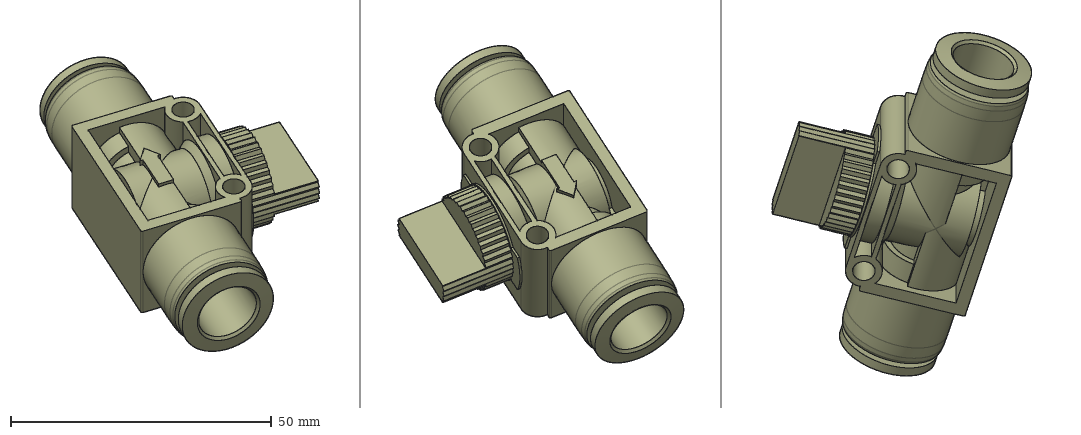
import cadquery as cq
import math

LENGTH = 68.1
HALF_LENGTH = LENGTH / 2
WIDTH_Y = 40.5
HOUSING_SIZE = 21.2
HALF_HOUSING = HOUSING_SIZE / 2
HANDLE_END_Y = WIDTH_Y - HALF_HOUSING

HOUSING_HALF_X = 16.55
EDGE_FILLET = 0.35
WALL = 2.45
EAR_X = 12.0
EAR_Y = 10.9
EAR_RADIUS = 3.55
EAR_HOLE_DIAMETER = 4.3
EAR_TOP_Y = EAR_Y + EAR_RADIUS

RIB_THICKNESS = 0.95
RIB_GAP = 3.1
UPPER_POCKET_TOP = EAR_TOP_Y - RIB_THICKNESS
UPPER_POCKET_BOTTOM = UPPER_POCKET_TOP - RIB_GAP
LOWER_POCKET_TOP = UPPER_POCKET_BOTTOM - RIB_THICKNESS
LOWER_POCKET_BOTTOM = -HALF_HOUSING + WALL
POCKET_HALF_X = HOUSING_HALF_X - WALL
WEB_THICKNESS = 2.7

CHAMBER_RADIUS = 8.9
CHAMBER_BOTTOM_Y = -6.7
CHAMBER_TOP_Y = 7.9
BONNET_RADIUS = 10.2
PASSAGE_RADIUS = 6.2
CHAMBER_FOOT_RADIUS = 6.4
COLLAR_RADIUS = 7.6
COLLAR_START_X = 9.75
PASSAGE_OVERLAP = 1.6

ARROW_TOP_Z = 9.6
ARROW_TIP_X = -6.0
ARROW_HEAD_X = -3.0
ARROW_TAIL_X = 4.5
ARROW_HEAD_HALF_WIDTH = 2.2

SLEEVE_RADIUS = 10.2
SLEEVE_TAPER_X = 26.6
SLEEVE_SHOULDER_X = 29.1
SLEEVE_SHOULDER_RADIUS = 10.15
SLEEVE_LIP_X = 30.1
SLEEVE_LIP_RADIUS = 10.0
SLEEVE_END_X = 30.6
SLEEVE_END_RADIUS = 9.8
COLLET_NECK_RADIUS = 6.95
COLLET_RADIUS = 9.6
COLLET_BACK_X = 31.75
COLLET_EDGE_X = 33.65
BORE_RADIUS = 6.05
BORE_CHAMFER = 0.55

FLANGE_TOP_Y = 14.9
FLANGE_DISC_RADIUS = 9.95
FLANGE_TAB_RADIUS = 12.4
FLANGE_TAB_WIDTH = 9.95
KNOB_TOP_Y = 20.65
KNOB_RADIUS = 9.8
KNOB_ROOT_RADIUS = 9.25
KNOB_TEETH = 40
HANDLE_THICKNESS = 5.3


def box(x_min, x_max, y_min, y_max, height):
    """Box between the given X and Y limits, centred on Z = 0."""
    size = (x_max - x_min, y_max - y_min, height)
    return cq.Workplane("XY").box(*size).translate(((x_min + x_max) / 2, (y_min + y_max) / 2, 0))


def along_x(radius, x_min, x_max):
    return cq.Workplane("YZ", origin=(x_min, 0, 0)).circle(radius).extrude(x_max - x_min)


def along_y(radius, y_min, y_max):
    return cq.Workplane("XZ", origin=(0, y_min, 0)).circle(radius).extrude(y_min - y_max)


def ear_cylinders(radius):
    ears = cq.Workplane("XY").pushPoints([(-EAR_X, EAR_Y), (EAR_X, EAR_Y)]).circle(radius)
    return ears.extrude(HALF_HOUSING, both=True)


def make_housing():
    block = box(-HOUSING_HALF_X, HOUSING_HALF_X, -HALF_HOUSING, HALF_HOUSING, HOUSING_SIZE)
    block = block.edges("|Z").fillet(EDGE_FILLET)
    bridge = box(-EAR_X, EAR_X, EAR_Y, EAR_TOP_Y, HOUSING_SIZE)
    lower = box(-POCKET_HALF_X, POCKET_HALF_X, LOWER_POCKET_BOTTOM, LOWER_POCKET_TOP, HOUSING_SIZE)
    upper = box(-EAR_X, EAR_X, UPPER_POCKET_BOTTOM, UPPER_POCKET_TOP, HOUSING_SIZE)
    web = box(-POCKET_HALF_X, POCKET_HALF_X, LOWER_POCKET_BOTTOM, EAR_Y, WEB_THICKNESS)
    upper_web = box(-EAR_X, EAR_X, EAR_Y, UPPER_POCKET_TOP, WEB_THICKNESS)
    housing = block.union(bridge).cut(lower).cut(upper)
    return housing.union(web).union(upper_web).union(ear_cylinders(EAR_RADIUS))


def make_valve_chamber():
    """Stem chamber: narrow foot, straight barrel, then a flare up to the bonnet."""
    profile = [
        (0, -HALF_HOUSING + WALL / 2),
        (CHAMBER_FOOT_RADIUS, -HALF_HOUSING + WALL / 2),
        (CHAMBER_FOOT_RADIUS, CHAMBER_BOTTOM_Y),
        (CHAMBER_RADIUS, CHAMBER_BOTTOM_Y),
        (CHAMBER_RADIUS, CHAMBER_TOP_Y),
        (BONNET_RADIUS, LOWER_POCKET_TOP),
        (BONNET_RADIUS, EAR_TOP_Y),
        (0, EAR_TOP_Y),
    ]
    return cq.Workplane("XY").polyline(profile).close().revolve(360, (0, 0, 0), (0, 1, 0))


def make_right_passage():
    """Passage on the +X side; its lower part is swollen to the chamber radius."""
    end_x = HOUSING_HALF_X
    swollen = along_x(CHAMBER_RADIUS, 0, end_x)
    swollen = swollen.intersect(box(0, end_x, -CHAMBER_RADIUS, PASSAGE_OVERLAP, HOUSING_SIZE))
    passage = along_x(PASSAGE_RADIUS, 0, end_x).union(along_x(COLLAR_RADIUS, COLLAR_START_X, end_x))
    return passage.union(swollen)


def make_arrow():
    half_shaft = PASSAGE_OVERLAP
    outline = [
        (ARROW_TIP_X, 0),
        (ARROW_HEAD_X, ARROW_HEAD_HALF_WIDTH),
        (ARROW_HEAD_X, half_shaft),
        (ARROW_TAIL_X, half_shaft),
        (ARROW_TAIL_X, -half_shaft),
        (ARROW_HEAD_X, -half_shaft),
        (ARROW_HEAD_X, -ARROW_HEAD_HALF_WIDTH),
    ]
    return (
        cq.Workplane("XY", origin=(0, 0, PASSAGE_RADIUS))
        .polyline(outline)
        .close()
        .extrude(ARROW_TOP_Z - PASSAGE_RADIUS)
    )


def make_right_connector():
    """Sleeve and push-in collet on the +X side, with a blind tube socket."""
    mouth_radius = BORE_RADIUS + BORE_CHAMFER
    profile = [
        (HOUSING_HALF_X - WALL / 2, 0),
        (HOUSING_HALF_X - WALL / 2, SLEEVE_RADIUS),
        (SLEEVE_TAPER_X, SLEEVE_RADIUS),
        (SLEEVE_SHOULDER_X, SLEEVE_SHOULDER_RADIUS),
        (SLEEVE_LIP_X, SLEEVE_LIP_RADIUS),
        (SLEEVE_END_X, SLEEVE_END_RADIUS),
        (SLEEVE_END_X, COLLET_NECK_RADIUS),
        (COLLET_BACK_X, COLLET_NECK_RADIUS),
        (COLLET_BACK_X, COLLET_RADIUS),
        (COLLET_EDGE_X, COLLET_RADIUS),
        (HALF_LENGTH, mouth_radius),
        (HALF_LENGTH - BORE_CHAMFER, BORE_RADIUS),
        (HOUSING_HALF_X, BORE_RADIUS),
        (HOUSING_HALF_X, 0),
    ]
    return cq.Workplane("XY").polyline(profile).close().revolve(360, (0, 0, 0), (1, 0, 0))


def make_flange():
    tabs = along_y(FLANGE_TAB_RADIUS, EAR_TOP_Y, FLANGE_TOP_Y)
    tabs = tabs.intersect(
        box(-FLANGE_TAB_RADIUS, FLANGE_TAB_RADIUS, EAR_TOP_Y, FLANGE_TOP_Y, FLANGE_TAB_WIDTH)
    )
    return along_y(FLANGE_DISC_RADIUS, EAR_TOP_Y, FLANGE_TOP_Y).union(tabs)


def make_knob():
    """V-toothed knob whose middle slab carries on as the handle."""
    points = []
    for i in range(2 * KNOB_TEETH):
        radius = KNOB_RADIUS if i % 2 == 0 else KNOB_ROOT_RADIUS
        angle = math.pi * i / KNOB_TEETH
        points.append((radius * math.cos(angle), radius * math.sin(angle)))
    grip = cq.Workplane("XZ", origin=(0, FLANGE_TOP_Y, 0)).polyline(points).close()
    grip = grip.extrude(FLANGE_TOP_Y - HANDLE_END_Y)
    knob = box(-KNOB_RADIUS, KNOB_RADIUS, FLANGE_TOP_Y, KNOB_TOP_Y, 2 * KNOB_RADIUS)
    handle = box(-KNOB_RADIUS, KNOB_RADIUS, FLANGE_TOP_Y, HANDLE_END_Y, HANDLE_THICKNESS)
    return grip.intersect(knob.union(handle))


def half_turn(body):
    """Copy turned half way round Z, from the +X side to the -X side."""
    return body.rotate((0, 0, 0), (0, 0, 1), 180)


result = make_housing().union(make_valve_chamber())
for right_part in (make_right_passage(), make_right_connector()):
    result = result.union(right_part).union(half_turn(right_part))
result = result.union(make_arrow()).union(make_flange()).union(make_knob())
result = result.cut(ear_cylinders(EAR_HOLE_DIAMETER / 2))